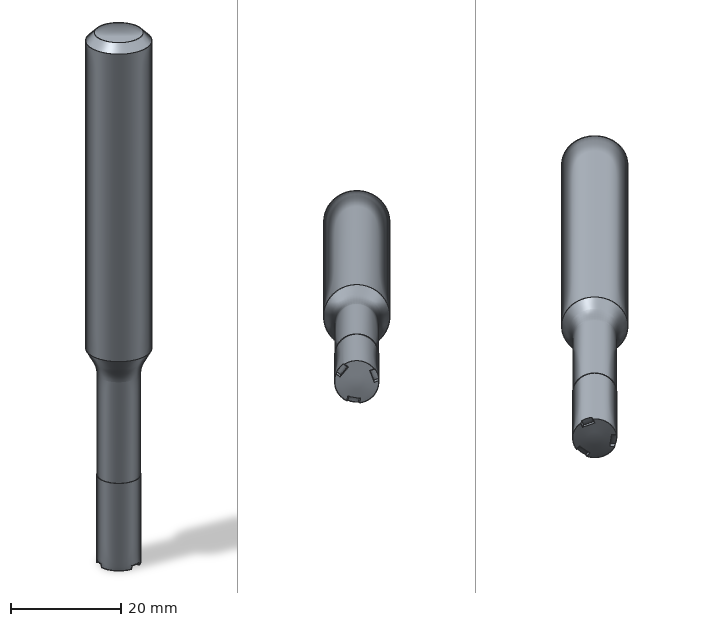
import cadquery as cq
import math

TOTAL_LENGTH = 105.5
SHANK_DIAMETER = 12.0
CUTTER_DIAMETER = 8.0
NECK_DIAMETER = 7.9

CUTTER_TOP = 17.6
NECK_TOP = 37.7
FLARE_START = 40.5

SHANK_CHAMFER = 1.6
FLARE_ANGLE = 30

RIM_HEIGHT = 0.2

NOTCH_COUNT = 3
NOTCH_TOP = 0.8
NOTCH_BOTTOM_WIDTH = 2.5
NOTCH_TOP_WIDTH = 1.9
NOTCH_DEPTH = 1.1
FIRST_NOTCH_ANGLE = -90


def make_holder():
    """Shank with a chamfered end, narrowing through a fillet and a cone to the neck."""
    shank_radius = SHANK_DIAMETER / 2
    neck_radius = NECK_DIAMETER / 2
    flare_angle = math.radians(FLARE_ANGLE)
    flare_radius = neck_radius + (FLARE_START - NECK_TOP) * math.tan(flare_angle / 2)
    shank_bottom = FLARE_START + (shank_radius - flare_radius) / math.tan(flare_angle)
    profile = (
        cq.Workplane("XZ")
        .moveTo(0, CUTTER_TOP)
        .lineTo(neck_radius, CUTTER_TOP)
        .lineTo(neck_radius, NECK_TOP)
        .tangentArcPoint((flare_radius, FLARE_START), relative=False)
        .lineTo(shank_radius, shank_bottom)
        .lineTo(shank_radius, TOTAL_LENGTH - SHANK_CHAMFER)
        .lineTo(shank_radius - SHANK_CHAMFER, TOTAL_LENGTH)
        .lineTo(0, TOTAL_LENGTH)
        .close()
    )
    return profile.revolve(360, (0, 0, 0), (0, 1, 0))


def make_notch(angle):
    """Trapezoidal cutter that reaches inward from the rim at the given angle."""
    outer_radius = CUTTER_DIAMETER / 2
    return (
        cq.Workplane("YZ", origin=(outer_radius - NOTCH_DEPTH, 0, 0))
        .polyline([
            (-NOTCH_BOTTOM_WIDTH / 2, 0),
            (NOTCH_BOTTOM_WIDTH / 2, 0),
            (NOTCH_TOP_WIDTH / 2, NOTCH_TOP),
            (-NOTCH_TOP_WIDTH / 2, NOTCH_TOP),
        ])
        .close()
        .extrude(outer_radius)
        .rotate((0, 0, 0), (0, 0, 1), angle)
    )


def make_cutter():
    """Cylindrical cutting head with a shallow conical end and evenly spaced rim notches."""
    outer_radius = CUTTER_DIAMETER / 2
    cutter = (
        cq.Workplane("XZ")
        .polyline([
            (0, 0),
            (outer_radius, RIM_HEIGHT),
            (outer_radius, CUTTER_TOP),
            (0, CUTTER_TOP),
        ])
        .close()
        .revolve(360, (0, 0, 0), (0, 1, 0))
    )
    for index in range(NOTCH_COUNT):
        angle = FIRST_NOTCH_ANGLE + index * 360 / NOTCH_COUNT
        cutter = cutter.cut(make_notch(angle))
    return cutter


holder = make_holder()
cutter = make_cutter()

result = cq.Compound.makeCompound([holder.val(), cutter.val()])